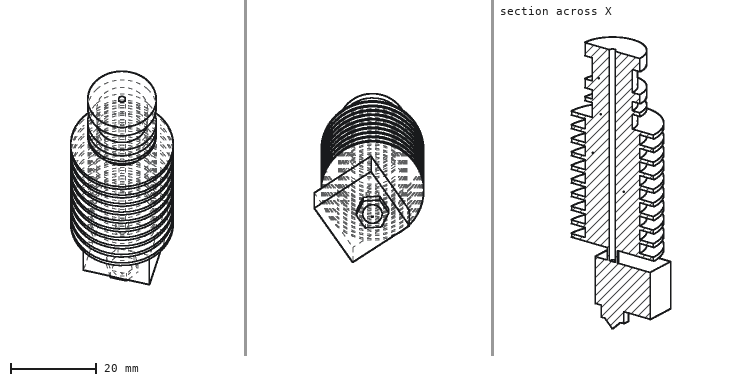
import cadquery as cq

total_height = 70.5
cone_height = 2.05
hex_height = 3.0
block_height = 12.0
throat_length = 3.0

fin_count = 10
fin_diameter = 24.0
fin_thickness = 1.05
fin_stack_height = 32.0
core_diameter = 16.0

neck_diameter = 11.8
collar_diameter = core_diameter
top_collar_thickness = 3.45
middle_collar = (6.85, 2.4)
lower_collar = (3.6, 1.05)

block_side = 16.0
block_front_offset = 5.0

throat_diameter = 3.0
bore_diameter = 1.6
hex_across_corners = 7.6
cone_diameter = 4.5
tip_diameter = 0.3

hex_bottom = cone_height
block_bottom = hex_bottom + hex_height
block_top = block_bottom + block_height
fins_bottom = block_top + throat_length
fins_top = fins_bottom + fin_stack_height
fin_pitch = (fin_stack_height - fin_thickness) / (fin_count - 1)


def disc(diameter, bottom, height):
    """Solid cylinder on the filament axis."""
    return cq.Workplane("XY").workplane(offset=bottom).circle(diameter / 2).extrude(height)


def make_heat_sink():
    body = disc(core_diameter, fins_bottom, fin_stack_height)
    for i in range(fin_count):
        body = body.union(disc(fin_diameter, fins_bottom + i * fin_pitch, fin_thickness))
    return body


def make_neck():
    neck = disc(neck_diameter, fins_top, total_height - fins_top)
    for rise, thickness in (lower_collar, middle_collar):
        neck = neck.union(disc(collar_diameter, fins_top + rise, thickness))
    top_collar_bottom = total_height - top_collar_thickness
    return neck.union(disc(collar_diameter, top_collar_bottom, top_collar_thickness))


def make_heater_block():
    return (
        cq.Workplane("XY")
        .box(block_side, block_side, block_height, centered=(True, False, False))
        .translate((0, -block_front_offset, block_bottom))
    )


def make_nozzle():
    hexagon = (
        cq.Workplane("XY")
        .workplane(offset=hex_bottom)
        .polygon(6, hex_across_corners)
        .extrude(hex_height)
    )
    cone = (
        cq.Workplane("XZ")
        .moveTo(0, 0)
        .lineTo(tip_diameter / 2, 0)
        .lineTo(cone_diameter / 2, cone_height)
        .lineTo(0, cone_height)
        .close()
        .revolve(360, (0, 0, 0), (0, 1, 0))
    )
    return hexagon.union(cone)


throat = disc(throat_diameter, block_top, throat_length)
bore = disc(bore_diameter, block_top, total_height - block_top)

result = (
    make_heat_sink()
    .union(make_neck())
    .union(throat)
    .union(make_heater_block())
    .union(make_nozzle())
    .cut(bore)
)